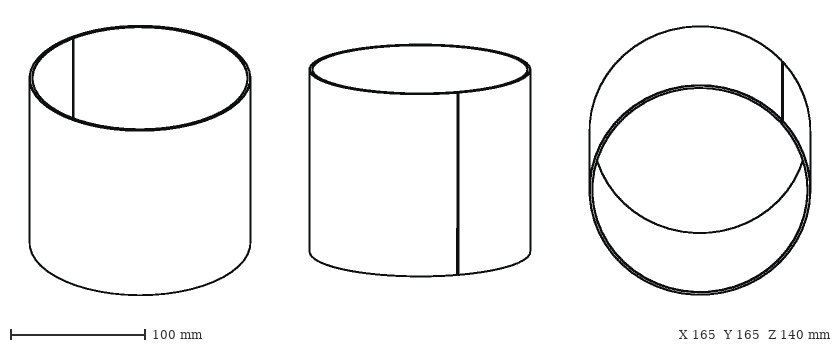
import cadquery as cq

outer_diameter = 165.0
wall = 2.5
height = 140.0
gap_angle = 1.0
edge_chamfer = 0.41

outer_radius = outer_diameter / 2
middle_radius = outer_radius - wall / 2

wall_section = (
    cq.Workplane("XZ", origin=(-middle_radius, 0, height / 2))
    .sketch()
    .rect(wall, height)
    .vertices()
    .chamfer(edge_chamfer)
    .finalize()
)

axis_start = (middle_radius, 0, 0)
axis_end = (middle_radius, 1, 0)
result = wall_section.revolve(360 - gap_angle, axis_start, axis_end)